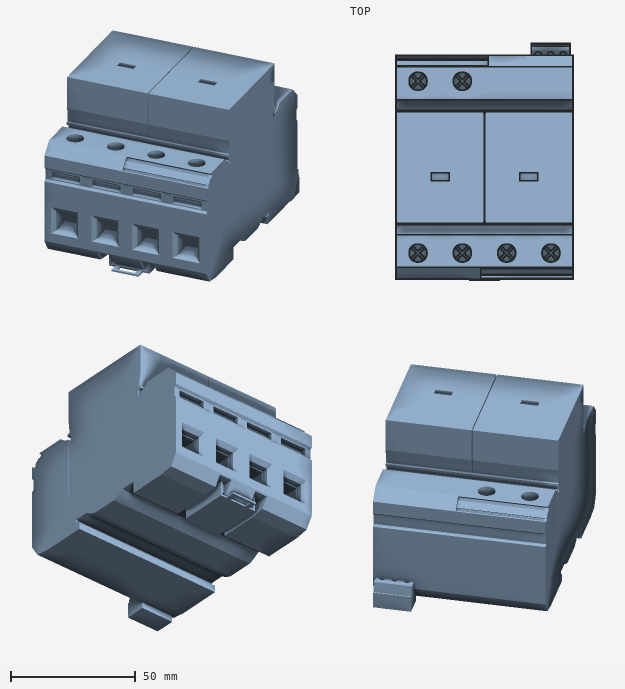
import cadquery as cq
import math

width = 71.2
depth = 90.0
housing_top = 49.3
pole_count = 4
pole_pitch = width / pole_count
pole_centers = [(i + 0.5) * pole_pitch for i in range(pole_count)]

top_chamfer = 4.8
foot_slope_z = 6.0
foot_inset = 3.2
foot_corner_z = 0.95
foot_flat_inset = 9.2
groove_low = 32.8
groove_high = 39.0
groove_depth = 0.95
groove_slant = 0.9

rail_roof = 5.4
rail_front = 26.75
rail_back = 62.5
rail_nose = 60.45
belly_z = 2.8
belly_ends = (33.5, 56.2)
belly_flat = (38.8, 50.8)

module_count = 2
module_pitch = width / module_count
module_gap = 0.4
seam_depth = 0.95
module_front = 22.4
module_back = 67.3
module_mid = (module_front + module_back) / 2
module_top = 69.5
pocket_floor = 20.2
pocket_back = 67.6


def box(x, y, z):
    """Box from three (low, high) ranges."""
    return cq.Workplane("XY").box(
        x[1] - x[0], y[1] - y[0], z[1] - z[0], centered=False
    ).translate((x[0], y[0], z[0]))


def profile(x, points):
    """Prism along X over the range x with a (Y, Z) outline."""
    return cq.Workplane("YZ").polyline(points).close().extrude(x[1] - x[0]).translate((x[0], 0, 0))


def mirrored(shape, y):
    """Mirror image of a shape about the plane at the given Y."""
    return shape.mirror("XZ", (0, y, 0))


def make_housing():
    """Housing prism with the rail recess in its underside."""
    lip_low = 3.1
    lip_high = 4.4
    belly_bulge = 0.3
    arc_y = [(a + b) / 2 for a, b in zip(belly_ends, belly_flat)]
    arc_z = (rail_roof + belly_z) / 2 - belly_bulge
    outer_side = [
        (foot_flat_inset, 0),
        (foot_inset, foot_corner_z),
        (0, foot_slope_z),
        (0, groove_low),
        (groove_depth, groove_low + groove_slant),
        (groove_depth, groove_high - groove_slant),
        (0, groove_high),
        (0, housing_top - top_chamfer),
        (top_chamfer, housing_top),
    ]
    back_side = [(depth - y, z) for y, z in reversed(outer_side)]
    outline = cq.Workplane("YZ").moveTo(rail_front, 0)
    for point in outer_side + back_side:
        outline = outline.lineTo(*point)
    outline = (
        outline.lineTo(rail_nose, 0)
        .lineTo(rail_nose, lip_low)
        .lineTo(rail_back, lip_high)
        .lineTo(rail_back, rail_roof)
        .lineTo(belly_ends[1], rail_roof)
        .threePointArc((arc_y[1], arc_z), (belly_flat[1], belly_z))
        .lineTo(belly_flat[0], belly_z)
        .threePointArc((arc_y[0], arc_z), (belly_ends[0], rail_roof))
        .lineTo(rail_front, rail_roof)
        .close()
    )
    return outline.extrude(width)


def make_shoulder_scoop():
    """Rounded step down from the housing top towards the front of the modules."""
    step_z = 46.8
    radius = 5.3
    axis = cq.Workplane("YZ").center(module_front, step_z + radius)
    return axis.circle(radius).extrude(width)


def make_modules():
    """Both modules as one prism with a waist and retaining lips, parted by a narrow seam."""
    waist_high = 55.5
    waist_y = 22.85
    waist_low_y = 22.9
    lip_y = 21.8
    lip_low = 48.3
    notch_y = 23.7
    notch_low = 45.1
    notch_chamfer = 0.5
    waist_mid_z = 52.6

    def behind(y):
        """Y of the matching point on the back of the modules."""
        return 2 * module_mid - y

    front = [
        (lip_y, housing_top),
        (lip_y, lip_low),
        (notch_y - notch_chamfer, lip_low),
        (notch_y, lip_low - notch_chamfer),
        (notch_y, notch_low + notch_chamfer),
        (notch_y - notch_chamfer, notch_low),
        (module_front, notch_low),
        (module_front, pocket_floor),
    ]
    back = [(behind(y), z) for y, z in reversed(front)]
    outline = (
        cq.Workplane("YZ")
        .moveTo(module_front, module_top)
        .lineTo(module_front, waist_high)
        .threePointArc((waist_y, waist_mid_z), (waist_low_y, housing_top))
    )
    for point in front + back:
        outline = outline.lineTo(*point)
    modules = (
        outline.lineTo(behind(waist_low_y), housing_top)
        .threePointArc((behind(waist_y), waist_mid_z), (module_back, waist_high))
        .lineTo(module_back, module_top)
        .close()
        .extrude(width)
    )
    gap = box(
        (module_pitch - module_gap / 2, module_pitch + module_gap / 2),
        (0, depth),
        (housing_top, module_top),
    )
    web = box(
        (0, width),
        (waist_y + seam_depth, behind(waist_y + seam_depth)),
        (housing_top, module_top - seam_depth),
    )
    return modules.cut(gap.cut(web))


def make_module_windows():
    """Indicator windows in the module tops."""
    window_x = 7.2
    window_y = (39.6, 42.65)
    window_depth = 1.4
    windows = cq.Workplane("XY")
    for i in range(module_count):
        center = (i + 0.5) * module_pitch
        windows = windows.add(box(
            (center - window_x / 2, center + window_x / 2),
            window_y,
            (module_top - window_depth, module_top),
        ))
    return windows.combine()


def make_screw_recess(x, y):
    """Screw shaft with a cross slot in the screw head at its bottom."""
    diameter = 7.2
    shaft_depth = 7.6
    slot_width = 1.0
    slot_depth = 0.95
    head_z = housing_top - shaft_depth
    shaft = cq.Workplane("XY", (0, 0, head_z)).circle(diameter / 2).extrude(shaft_depth)
    cross = (
        cq.Workplane("XY", (0, 0, head_z - slot_depth))
        .rect(diameter, slot_width)
        .extrude(slot_depth)
    )
    cross = cross.union(cross.rotate((0, 0, 0), (0, 0, 1), 90))
    cross = cross.rotate((0, 0, 0), (0, 0, 1), 45)
    cross = cross.intersect(
        cq.Workplane("XY", (0, 0, head_z - slot_depth)).circle(diameter / 2).extrude(slot_depth)
    )
    return shaft.union(cross).translate((x, y, 0))


def make_terminal(x):
    """Wire entry: a funnel, a throat and a slightly smaller clamp behind it."""
    mouth = 11.8
    mouth_mid_z = 16.0
    throat = 9.1
    throat_mid_z = 15.4
    funnel_depth = 1.6
    clamp_start = 4.3
    clamp_depth = 10.5
    clamp_step = 0.1
    clamp_top_step = 0.5
    funnel = (
        cq.Workplane("XZ")
        .center(x, mouth_mid_z)
        .rect(mouth, mouth)
        .workplane(offset=-funnel_depth)
        .center(0, throat_mid_z - mouth_mid_z)
        .rect(throat, throat)
        .loft()
    )
    half = throat / 2
    throat_box = box(
        (x - half, x + half),
        (funnel_depth, clamp_start),
        (throat_mid_z - half, throat_mid_z + half),
    )
    clamp = box(
        (x - half + clamp_step, x + half - clamp_step),
        (clamp_start, clamp_depth),
        (throat_mid_z - half + clamp_step, throat_mid_z + half - clamp_top_step),
    )
    return funnel.union(throat_box).union(clamp)


def make_groove_window(x):
    """Opening in the front groove with a ledge along its lower edge."""
    window_x = 12.85
    low, ledge, high = 34.2, 35.6, 37.6
    ledge_depth = 2.1
    back = 3.8
    span = (x - window_x / 2, x + window_x / 2)
    upper = box(span, (groove_depth, back), (ledge, high))
    lower = box(span, (groove_depth, groove_depth + ledge_depth), (low, ledge))
    return upper.union(lower)


def make_label_track(x):
    """Label track sunk into the front top chamfer: two grooves beside a raised floor."""
    edge = 0.4
    track_groove = 1.4
    groove_floor = 1.7
    ridge_top = 1.0
    slope_length = top_chamfer * math.sqrt(2)
    points = [
        (edge, 0),
        (edge, groove_floor),
        (edge + track_groove, groove_floor),
        (edge + track_groove, ridge_top),
        (slope_length - edge - track_groove, ridge_top),
        (slope_length - edge - track_groove, groove_floor),
        (slope_length - edge, groove_floor),
        (slope_length - edge, 0),
    ]
    track = profile(x, [(along, -inward) for along, inward in points])
    track = track.rotate((0, 0, 0), (1, 0, 0), 45)
    return track.translate((0, 0, housing_top - top_chamfer))


clip_x = (26.75, 44.5)
clip_mid = sum(clip_x) / 2
clip_front = 3.8
clip_back = 25.8
clip_bottom = -1.3
clip_sheet = 0.8
foot_slot_width = 24.6
core_width = 12.5
hook_width = 8.95


def centered_range(size):
    """Range of X of the given size, centred on the clip."""
    return (clip_mid - size / 2, clip_mid + size / 2)


def make_foot_core():
    """Sloped block of the front foot between the clip walls."""
    core_toe = 3.8
    points = [(0, foot_slope_z), (core_toe, 0), (rail_front, 0), (rail_front, foot_slope_z)]
    return profile(centered_range(core_width), points)


def make_clip():
    """Sheet clip with side walls, a handle loop at the front and a hook for the rail."""
    shoulder_z = 1.2
    shoulder_front = 4.8
    handle_width = 11.8
    handle_front = -0.4
    handle_side_bar = 2.1
    handle_end_bar = 1.1
    plate_top = clip_bottom + clip_sheet
    core_x = centered_range(core_width)

    clip = box(clip_x, (clip_front, clip_back), (clip_bottom, plate_top))
    wall = box(
        (clip_x[0], clip_x[0] + clip_sheet), (clip_front, clip_back), (clip_bottom, rail_roof)
    )
    shoulder = box((clip_x[0], core_x[0]), (shoulder_front, clip_back), (shoulder_z, rail_roof))
    for side in (wall, shoulder):
        clip = clip.union(side).union(side.mirror("YZ", (clip_mid, 0, 0)))

    handle = box(
        centered_range(handle_width), (handle_front, clip_front), (clip_bottom, plate_top)
    )
    handle_hole = box(
        centered_range(handle_width - 2 * handle_side_bar),
        (handle_front + handle_end_bar, clip_front),
        (clip_bottom, plate_top),
    )
    clip = clip.union(handle.cut(handle_hole))

    riser_length = 2.9
    riser = box(centered_range(hook_width), (clip_back - riser_length, clip_back), (clip_bottom, 0))
    neck_y = 27.5
    hook_outline = [
        (rail_front, rail_roof),
        (neck_y, rail_roof),
        (neck_y, 4.4),
        (29.8, 4.1),
        (28.9, 2.5),
        (rail_front, 0.4),
    ]
    hook = profile(centered_range(hook_width), hook_outline)
    return clip.union(riser).union(hook)


def make_connector():
    """Signal connector at the lower back with three screw holes in its top."""
    connector_x = (54.4, 70.0)
    inner_y = 85.8
    back_y = 94.8
    step_y = 94.25
    top_y = 93.5
    bottom = -1.9
    step_z = 4.95
    top = 9.2
    hole_diameter = 2.7
    hole_pitch = 5.0
    hole_depth = 1.9
    body = profile(connector_x, [
        (inner_y, bottom),
        (back_y, bottom),
        (back_y, step_z),
        (step_y, step_z),
        (top_y, top),
        (inner_y, top),
    ])
    middle = sum(connector_x) / 2
    holes = (
        cq.Workplane("XY", (0, 0, top - hole_depth))
        .pushPoints([(middle + i * hole_pitch, depth) for i in (-1, 0, 1)])
        .circle(hole_diameter / 2)
        .extrude(hole_depth)
    )
    return body.cut(holes)


body = make_housing()

body = body.cut(box((0, width), (module_front, pocket_back), (pocket_floor, housing_top)))
scoop = make_shoulder_scoop()
body = body.cut(scoop).cut(mirrored(scoop, depth / 2))
body = body.union(make_modules()).cut(make_module_windows())

screw_y = 10.5
back_pole_count = 2
for pole_x in pole_centers:
    body = body.cut(make_screw_recess(pole_x, screw_y))
    body = body.cut(make_terminal(pole_x))
    body = body.cut(make_groove_window(pole_x))
for pole_x in pole_centers[:back_pole_count]:
    body = body.cut(make_screw_recess(pole_x, depth - screw_y))

track_length = 37.1
body = body.cut(make_label_track((width - track_length, width)))
body = body.cut(mirrored(make_label_track((0, track_length)), depth / 2))

body = body.cut(box(centered_range(foot_slot_width), (0, rail_front), (0, rail_roof)))
body = body.union(make_foot_core()).union(make_clip())

result = body.union(make_connector())